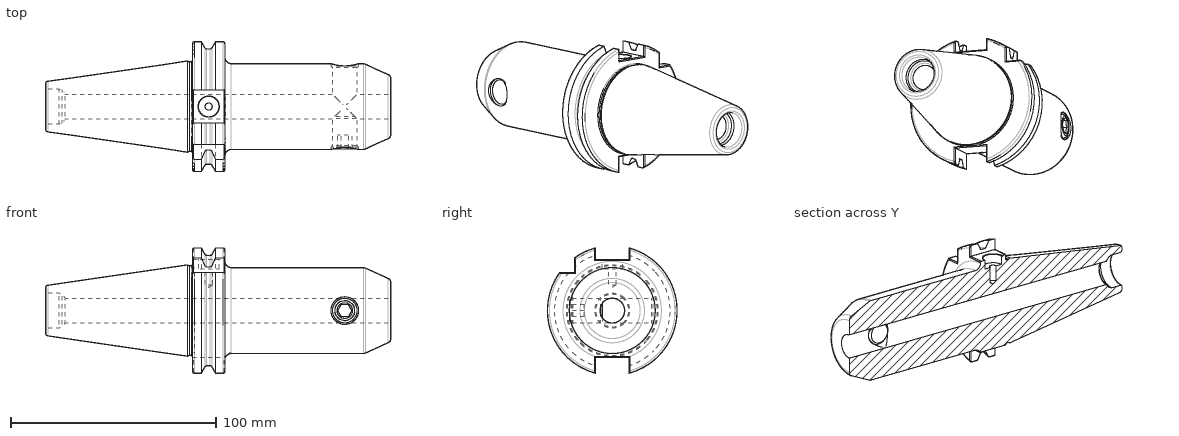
import cadquery as cq
import math


gauge_radius = 44.45 / 2
shank_length = 68.4
taper_slope = 7 / 24 / 2
shank_end_radius = gauge_radius - shank_length * taper_slope
shank_end_fillet = 1.3
taper_overrun = 0.7
taper_end_radius = gauge_radius + taper_overrun * taper_slope

neck_radius = 21.9
neck_start = 1.7
neck_fillet = 0.5

flange_radius = 63.33 / 2
flange_start = 3.2
flange_end = 19.1
flange_width = flange_end - flange_start
flange_center = (flange_start + flange_end) / 2
flange_fillet = 1.0
vee_center = 11.0
vee_width = 6.9
vee_depth = 3.5
vee_half_angle = math.radians(30)
vee_floor_width = vee_width - 2 * vee_depth * math.tan(vee_half_angle)
vee_fillet = 1.0

drive_slot_half_width = 8.07
upper_slot_floor = 25.0
lower_slot_floor = 22.8
notch_offset = 18.5
slot_edge_chamfer = 0.5
slot_clearance = 5.0

chip_pocket_diameter = 10.0
chip_pocket_depth = 4.6
chip_pocket_chamfer = 0.2
chip_hole_diameter = 3.5
chip_hole_depth = 8.0
drill_half_angle = math.radians(59)

body_radius = 21.0
body_fillet = 3.0
body_end = 100.0
nose_length = 12.9
nose_angle = math.radians(24.5)
nose_start = body_end - nose_length
nose_end_radius = body_radius - nose_length * math.tan(nose_angle)
nose_edge_fillet = 2.3
nose_blend_radius = 2.2

bore_radius = 6.0
counterbore_radius = 8.5
counterbore_depth = 6.6
counterbore_rounding = 0.9
seat_radius = 8.0
seat_length = 1.3
lead_in_radius = 7.0
floor_cone_half_angle = math.radians(60)

screw_x = body_end - 22.5
screw_radius = 6.0
screw_length = 16.0
screw_tip_y = -4.8
screw_head_y = screw_tip_y - screw_length
screw_head_chamfer = 1.2
screw_tip_chamfer = 1.0
socket_across_flats = 6.0
socket_depth = 7.0
socket_countersink_radius = 3.8
socket_countersink_depth = 1.2
mouth_radius = 6.75
mouth_depth = 1.2

edge_tolerance = 0.01


def round_circle(solid, x, radius, fillet):
    """Fillet the circular edge that has the given radius and lies at the given X."""
    edges = [
        edge
        for edge in solid.edges("%CIRCLE").vals()
        if abs(edge.Center().x - x) < edge_tolerance and abs(edge.radius() - radius) < edge_tolerance
    ]
    return solid.newObject(edges).fillet(fillet)


def make_blank():
    """Revolve the outer shape: shank, neck, flange with its vee groove, body and nose."""
    profile = [
        (-shank_length, 0),
        (-shank_length, shank_end_radius),
        (taper_overrun, taper_end_radius),
        (neck_start, neck_radius),
        (flange_start, neck_radius),
        (flange_start, flange_radius),
        (vee_center - vee_width / 2, flange_radius),
        (vee_center - vee_floor_width / 2, flange_radius - vee_depth),
        (vee_center + vee_floor_width / 2, flange_radius - vee_depth),
        (vee_center + vee_width / 2, flange_radius),
        (flange_end, flange_radius),
        (flange_end, body_radius),
        (nose_start, body_radius),
        (body_end, nose_end_radius),
        (body_end, 0),
    ]
    blank = cq.Workplane("XZ").polyline(profile).close().revolve(360, (0, 0, 0), (1, 0, 0))

    rounds = [
        (-shank_length, shank_end_radius, shank_end_fillet),
        (flange_start, neck_radius, neck_fillet),
        (flange_start, flange_radius, flange_fillet),
        (flange_end, flange_radius, flange_fillet),
        (vee_center - vee_floor_width / 2, flange_radius - vee_depth, vee_fillet),
        (vee_center + vee_floor_width / 2, flange_radius - vee_depth, vee_fillet),
        (flange_end, body_radius, body_fillet),
        (nose_start, body_radius, nose_blend_radius),
        (body_end, nose_end_radius, nose_edge_fillet),
    ]
    for x, radius, fillet in rounds:
        blank = round_circle(blank, x, radius, fillet)
    return blank


def make_bore():
    """Revolve the through bore with its rounded counterbore, which narrows in three cones."""
    mouth = -shank_length
    rim_radius = counterbore_radius + counterbore_rounding
    rounding_middle = counterbore_rounding * (1 - math.sqrt(0.5))
    seat_start = mouth + counterbore_depth
    seat_end = seat_start + seat_length
    lead_in_end = seat_end + seat_radius - lead_in_radius
    bore_start = lead_in_end + (lead_in_radius - bore_radius) / math.tan(floor_cone_half_angle)
    return (
        cq.Workplane("XZ")
        .moveTo(mouth, 0)
        .lineTo(mouth, rim_radius)
        .threePointArc(
            (mouth + rounding_middle, counterbore_radius + rounding_middle),
            (mouth + counterbore_rounding, counterbore_radius),
        )
        .lineTo(seat_start, counterbore_radius)
        .lineTo(seat_end, seat_radius)
        .lineTo(lead_in_end, lead_in_radius)
        .lineTo(bore_start, bore_radius)
        .lineTo(body_end, bore_radius)
        .lineTo(body_end, 0)
        .close()
        .revolve(360, (0, 0, 0), (1, 0, 0))
    )


def make_slot_cutter(y_min, y_max, z_min, z_max):
    """Block through the flange and its root fillets, flared at both flange faces to chamfer the edges."""
    height = z_max - z_min
    width = y_max - y_min
    y_mid = (y_min + y_max) / 2
    z_mid = (z_min + z_max) / 2
    cutter = cq.Workplane("XY").box(flange_width + 2 * body_fillet, width, height)
    for side in (-1, 1):
        flare = (
            cq.Workplane("YZ")
            .workplane(offset=side * flange_width / 2)
            .rect(width + 2 * slot_edge_chamfer, height + 2 * slot_edge_chamfer)
            .extrude(-side * slot_edge_chamfer, taper=45)
        )
        cutter = cutter.union(flare)
    return cutter.translate((flange_center, y_mid, z_mid))


def cut_flange_slots(holder):
    """Cut the two drive slots and the corner notch into the flange."""
    beyond = flange_radius + slot_clearance
    half = drive_slot_half_width
    slots = [
        (-half, half, upper_slot_floor, beyond),
        (-half, half, -beyond, -lower_slot_floor),
        (-beyond, -notch_offset, notch_offset, beyond),
    ]
    for limits in slots:
        holder = holder.cut(make_slot_cutter(*limits))
    return holder


def make_chip_pocket():
    """Chamfered round pocket in the upper slot floor with a blind drilled hole in its centre."""
    pocket_radius = chip_pocket_diameter / 2
    hole_radius = chip_hole_diameter / 2
    hole_end = -chip_pocket_depth - chip_hole_depth
    profile = [
        (0, 0),
        (pocket_radius + chip_pocket_chamfer, 0),
        (pocket_radius, -chip_pocket_chamfer),
        (pocket_radius, -chip_pocket_depth),
        (hole_radius, -chip_pocket_depth),
        (hole_radius, hole_end),
        (0, hole_end - hole_radius / math.tan(drill_half_angle)),
    ]
    pocket = cq.Workplane("XZ").polyline(profile).close().revolve(360, (0, 0, 0), (0, 1, 0))
    return pocket.translate((flange_center, 0, upper_slot_floor))


def make_screw_hole():
    """Cross hole through the body, with a coned counterbore at both mouths."""
    cone_end = body_radius - mouth_depth
    cone_start = cone_end - (mouth_radius - screw_radius)
    profile = [
        (0, -body_radius),
        (mouth_radius, -body_radius),
        (mouth_radius, -cone_end),
        (screw_radius, -cone_start),
        (screw_radius, cone_start),
        (mouth_radius, cone_end),
        (mouth_radius, body_radius),
        (0, body_radius),
    ]
    hole = cq.Workplane("XY").polyline(profile).close().revolve(360, (0, 0, 0), (0, 1, 0))
    return hole.translate((screw_x, 0, 0))


def make_holder():
    holder = make_blank().cut(make_bore())
    holder = cut_flange_slots(holder)
    holder = holder.cut(make_chip_pocket())
    return holder.cut(make_screw_hole())


def make_set_screw():
    """Set screw along Y with a hexagon socket in its outer end."""
    profile = [
        (0, screw_head_y),
        (screw_radius - screw_head_chamfer, screw_head_y),
        (screw_radius, screw_head_y + screw_head_chamfer),
        (screw_radius, screw_tip_y - screw_tip_chamfer),
        (screw_radius - screw_tip_chamfer, screw_tip_y),
        (0, screw_tip_y),
    ]
    screw = cq.Workplane("XY").polyline(profile).close().revolve(360, (0, 0, 0), (0, 1, 0))
    hexagon_diameter = socket_across_flats / math.cos(math.pi / 6)
    head = cq.Workplane("XZ", origin=(0, screw_head_y, 0))
    socket = head.polygon(6, hexagon_diameter).extrude(-socket_depth)
    countersink = head.circle(socket_countersink_radius).extrude(-socket_countersink_depth, taper=45)
    return screw.cut(socket).cut(countersink).translate((screw_x, 0, 0))


holder = make_holder()
set_screw = make_set_screw()

result = cq.Compound.makeCompound([holder.val(), set_screw.val()])